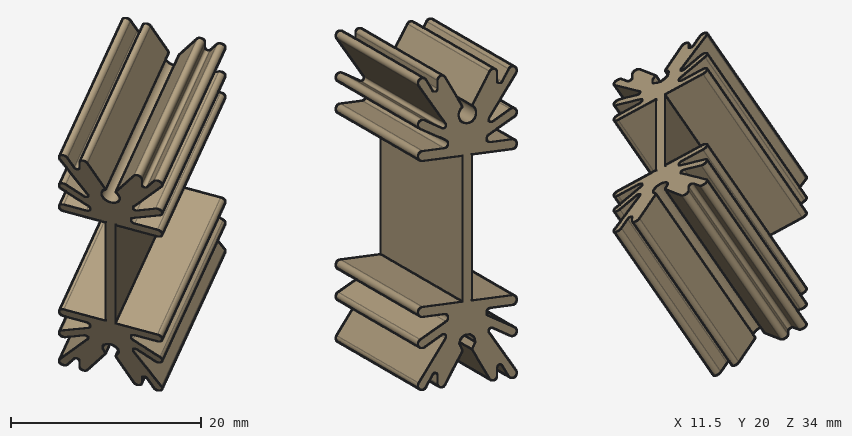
import cadquery as cq
import math

height = 34.0
width = 11.5
length = 20.0
half_height = height / 2
half_width = width / 2

web_thickness = 1.1
flange_inner_z = 7.95
flange_thickness = 1.1
flange_radius = flange_thickness / 2
fin_radius = 0.5
prong_radius = 0.48
gap_radius = 0.3
root_radius = 0.45
mid_fin_z = 11.93

mouth_half_width = 0.55
mouth_z = 13.3
upper_channel_z = 12.45
upper_channel_radius = math.hypot(mouth_half_width, mouth_z - upper_channel_z)
lower_channel_z = 12.5
lower_channel_radius = 0.92

root_z = flange_inner_z + flange_thickness + root_radius
edge_circles = [
    (half_width - flange_radius, flange_inner_z + flange_radius, flange_radius),
    (2.7, root_z, -root_radius),
    (half_width - fin_radius, mid_fin_z, fin_radius),
    (2.8, 11.52, -gap_radius),
    (half_width - fin_radius, half_height - fin_radius, fin_radius),
    (3.77, 15.65, -gap_radius),
    (3.0, half_height - prong_radius, prong_radius),
]


def tangent_normal(start, end):
    """Angle of the outward normal on the line tangent to two signed circles."""
    dx = end[0] - start[0]
    dz = end[1] - start[1]
    offset = (start[2] - end[2]) / math.hypot(dx, dz)
    return math.atan2(dz, dx) - math.acos(offset)


def on_circle(circle, angle):
    x, z, radius = circle
    return (x + radius * math.cos(angle), z + radius * math.sin(angle))


def extrude_profile(profile):
    return profile.extrude(length / 2, both=True)


def half_head():
    """Right half of a finned head, filled in up to the mouth of the channel."""
    mouth = (mouth_half_width, mouth_z, 0)
    entry = -math.pi / 2
    outline = cq.Workplane("XZ").moveTo(0, flange_inner_z)
    for circle, following in zip(edge_circles, edge_circles[1:] + [mouth]):
        leaving = tangent_normal(circle, following)
        turn = (leaving - entry) % (2 * math.pi)
        if circle[2] < 0:
            turn -= 2 * math.pi
        outline = outline.lineTo(*on_circle(circle, entry))
        outline = outline.threePointArc(
            on_circle(circle, entry + turn / 2), on_circle(circle, leaving)
        )
        entry = leaving
    outline = outline.lineTo(mouth_half_width, mouth_z).lineTo(0, mouth_z).close()
    return extrude_profile(outline)


def round_channel(center_z, radius):
    return extrude_profile(cq.Workplane("XZ").center(0, center_z).circle(radius))


def channel_neck(center_z, radius):
    """Straight walls narrowing from the widest part of a channel to its mouth."""
    corners = [
        (-radius, center_z),
        (radius, center_z),
        (mouth_half_width, mouth_z),
        (-mouth_half_width, mouth_z),
    ]
    return extrude_profile(cq.Workplane("XZ").polyline(corners).close())


right_half = half_head()
full_head = right_half.union(right_half.mirror("YZ"))
upper_head = full_head.cut(round_channel(upper_channel_z, upper_channel_radius))

lower_round = round_channel(lower_channel_z, lower_channel_radius).intersect(
    cq.Workplane("XY").box(width, length, lower_channel_z, centered=(True, True, False))
)
lower_neck = channel_neck(lower_channel_z, lower_channel_radius)
lower_head = full_head.cut(lower_round).cut(lower_neck).mirror("XY")

web = cq.Workplane("XY").box(web_thickness, length, 2 * flange_inner_z)
result = web.union(upper_head).union(lower_head)